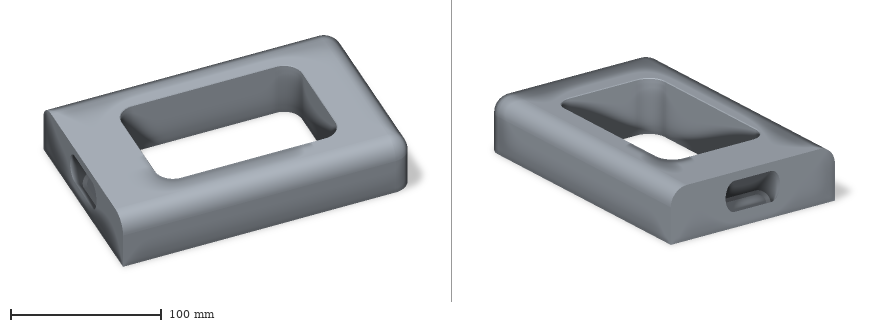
import cadquery as cq

WIDTH = 134.0
LENGTH = 210.0
HEIGHT = 40.0
EDGE_RADIUS = 13.0

WINDOW_WIDTH = 81.5
WINDOW_END_MARGIN = 40.0
WINDOW_LENGTH = LENGTH - 2 * WINDOW_END_MARGIN
WINDOW_CORNER_RADIUS = 13.0
WINDOW_TOP_CHAMFER = 0.5

POCKET_LENGTH = 44.5
POCKET_WIDTH = 15.0
POCKET_HEIGHT = 22.5
POCKET_TILT = 48.0
POCKET_DEPTH = 20.5
POCKET_END_CHAMFER = 2.0
POCKET_OVERRUN = 21.0


def make_block():
    block = cq.Workplane("XY").box(WIDTH, LENGTH, HEIGHT, centered=(True, False, False))
    block = block.edges("|Z and >Y").fillet(EDGE_RADIUS)
    return block.faces(">Z").edges("not <Y").fillet(EDGE_RADIUS)


def cut_window(block):
    window = cq.Workplane("XY").box(WINDOW_WIDTH, WINDOW_LENGTH, HEIGHT, centered=(True, False, False))
    window = window.translate((0, WINDOW_END_MARGIN, 0)).edges("|Z").fillet(WINDOW_CORNER_RADIUS)
    framed = block.cut(window)
    top_face = framed.faces(">Z").val()
    window_rim = top_face.innerWires()[0].Edges()
    return framed.newObject(window_rim).chamfer(WINDOW_TOP_CHAMFER)


def make_pocket():
    pocket = (
        cq.Workplane("XZ", origin=(0, POCKET_DEPTH, 0))
        .slot2D(POCKET_LENGTH, POCKET_WIDTH)
        .extrude(POCKET_DEPTH + POCKET_OVERRUN)
        .faces(">Y")
        .chamfer(POCKET_END_CHAMFER)
    )
    pocket = pocket.rotate((0, 0, 0), (1, 0, 0), -POCKET_TILT)
    return pocket.translate((0, 0, POCKET_HEIGHT))


result = cut_window(make_block()).cut(make_pocket())